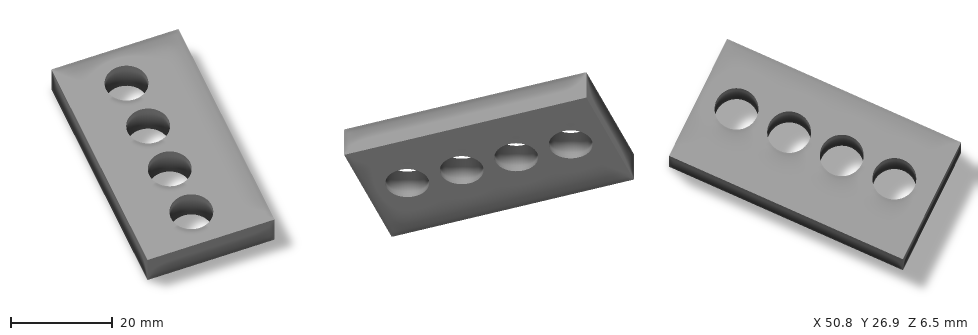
import cadquery as cq

length = 50.8
width = 26.9
thickness = 6.5

hole_diameter = 8.65
hole_count = 4
hole_pitch = 11.45
first_hole_from_end = 8.65
row_from_edge = 12.45

hole_centers = [
    (first_hole_from_end + index * hole_pitch, row_from_edge)
    for index in range(hole_count)
]

plate = cq.Workplane("XY").box(length, width, thickness, centered=False)

holes = (
    cq.Workplane("XY")
    .pushPoints(hole_centers)
    .circle(hole_diameter / 2)
    .extrude(thickness)
)

result = plate.cut(holes)